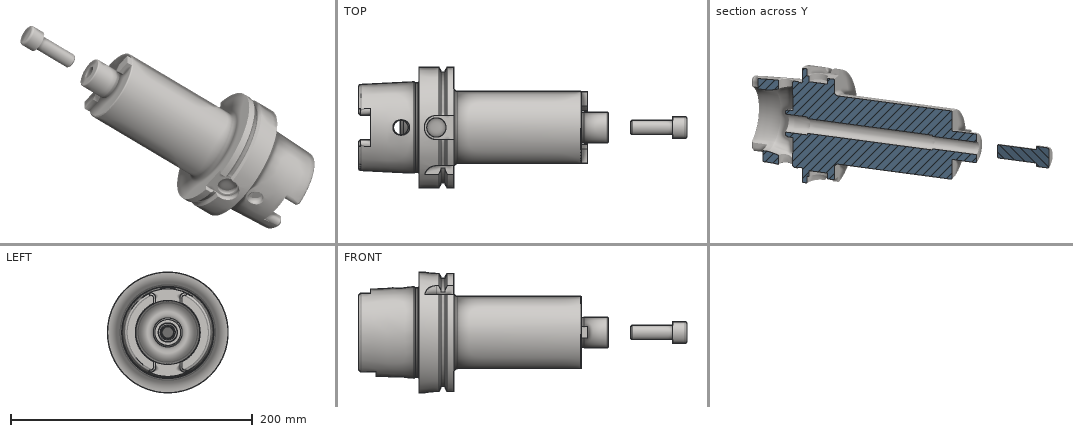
import cadquery as cq
import math


SHANK_LENGTH = 50.0
TAPER_SLOPE = 0.05
GAUGE_RADIUS = 37.5
GAUGE_OFFSET = 12.5
SHANK_TIP_FILLET = 2.0

UNDERCUT_LENGTH = 4.1
UNDERCUT_RADIUS = 37.2
UNDERCUT_TAPER_RUN = 1.3
UNDERCUT_FACE_RUN = 0.6
UNDERCUT_FACE_RISE = 1.0
FACE_RELIEF_RADIUS = 39.5
FACE_RELIEF_DEPTH = 0.3

FLANGE_RADIUS = 50.0
FLANGE_WIDTH = 29.0
GRIP_GROOVE_CENTER = 20.0
GRIP_GROOVE_TOP_WIDTH = 7.0
GRIP_GROOVE_FLOOR_WIDTH = 3.5
GRIP_GROOVE_BEVEL_RADIUS = 47.2
GRIP_GROOVE_RADIUS = 46.0

SLOT_WIDTH = 20.0
SLOT_END_CENTER = 14.5
SLOT_FLOOR_RADIUS = 44.0
SLOT_HOLE_DIAMETER = 16.0
SLOT_HOLE_DEPTH = 5.0
NOTCH_OFFSET = 31.6

BODY_RADIUS = 30.0
BODY_END = 134.8
BODY_ROOT_FILLET = 3.0
BODY_END_FILLET = 1.0
PILOT_RADIUS = 25.4 / 2
PILOT_LENGTH = 22.0
PILOT_END_FILLET = 1.0
PILOT_RELIEF_RADIUS = 25.0 / 2
PILOT_RELIEF_WIDTH = 2.5
PILOT_RELIEF_RUN = 1.2

KEY_WIDTH = 9.5
KEY_HEIGHT = 4.8
KEY_INNER_REACH = 13.8
KEY_INNER_CHAMFER = 4.1

MOUTH_RADIUS = 53.0 / 2
MOUTH_CHAMFER = 0.4
CLAMP_GROOVE_RADIUS = 63.0 / 2
CLAMP_GROOVE_START = -30.3
CLAMP_GROOVE_END = -10.5
BORE_FLOOR = -8.5
BORE_FLOOR_RADIUS = 24.6
NOSE_START = -15.4
NOSE_TIP_RADIUS = 10.7
NOSE_RADIUS = 24.0 / 2
NOSE_TAPER_LENGTH = 2.7

PASSAGE_MOUTH_RADIUS = 16.0 / 2
PASSAGE_RADIUS = 15.3 / 2
PASSAGE_DEPTH = 20.0
STEP_RADIUS = 12.5 / 2
THREAD_LENGTH = 40.0
THREAD_RADIUS = 10.5 / 2

DRIVE_SLOT_WIDTH = 20.0
UPPER_DRIVE_SLOT_DEPTH = 10.0
LOWER_DRIVE_SLOT_DEPTH = 14.5
DRIVE_SLOT_LIP_RADIUS = 4.0
DRIVE_SLOT_TIP_CHAMFER = 1.8
ACCESS_HOLE_DIAMETER = 12.0
ACCESS_COUNTERSINK_DIAMETER = 14.0
ACCESS_HOLE_X = -14.9

SCREW_START = 175.0
SCREW_SHANK_LENGTH = 35.0
SCREW_SHANK_RADIUS = 6.0
SCREW_TIP_CHAMFER = 1.3
SCREW_HEAD_RADIUS = 9.0
SCREW_HEAD_LENGTH = 12.0
SCREW_HEAD_FILLET = 1.8

MARGIN = 5.0


def taper_radius(x):
    return GAUGE_RADIUS + TAPER_SLOPE * (x + GAUGE_OFFSET)


def spin(profile):
    """Revolve an (x, radius) profile about the X axis."""
    return profile.close().revolve(360, (0, 0, 0), (1, 0, 0))


def arbor_blank():
    tip = -SHANK_LENGTH
    undercut_start = -UNDERCUT_LENGTH
    groove_half_top = GRIP_GROOVE_TOP_WIDTH / 2
    groove_half_floor = GRIP_GROOVE_FLOOR_WIDTH / 2
    pilot_end = BODY_END + PILOT_LENGTH
    relief_end = BODY_END + PILOT_RELIEF_WIDTH
    root = BODY_ROOT_FILLET
    root_mid = root * (1 - math.sqrt(0.5))
    tip_round = SHANK_TIP_FILLET
    tip_mid = tip_round * (1 - math.sqrt(0.5))
    tip_radius = taper_radius(tip)
    round_end = tip + tip_round
    profile = (
        cq.Workplane("XY")
        .moveTo(tip, 0)
        .lineTo(tip, tip_radius - tip_round)
        .threePointArc((tip + tip_mid, tip_radius - tip_mid), (round_end, taper_radius(round_end)))
        .lineTo(undercut_start, taper_radius(undercut_start))
        .lineTo(undercut_start + UNDERCUT_TAPER_RUN, UNDERCUT_RADIUS)
        .lineTo(-UNDERCUT_FACE_RUN, UNDERCUT_RADIUS)
        .lineTo(FACE_RELIEF_DEPTH, UNDERCUT_RADIUS + UNDERCUT_FACE_RISE)
        .lineTo(0, FACE_RELIEF_RADIUS)
        .lineTo(0, FLANGE_RADIUS)
        .lineTo(GRIP_GROOVE_CENTER - groove_half_top, FLANGE_RADIUS)
        .lineTo(GRIP_GROOVE_CENTER - groove_half_floor, GRIP_GROOVE_BEVEL_RADIUS)
        .lineTo(GRIP_GROOVE_CENTER - groove_half_floor, GRIP_GROOVE_RADIUS)
        .lineTo(GRIP_GROOVE_CENTER + groove_half_floor, GRIP_GROOVE_RADIUS)
        .lineTo(GRIP_GROOVE_CENTER + groove_half_floor, GRIP_GROOVE_BEVEL_RADIUS)
        .lineTo(GRIP_GROOVE_CENTER + groove_half_top, FLANGE_RADIUS)
        .lineTo(FLANGE_WIDTH, FLANGE_RADIUS)
        .lineTo(FLANGE_WIDTH, BODY_RADIUS + root)
        .threePointArc((FLANGE_WIDTH + root_mid, BODY_RADIUS + root_mid), (FLANGE_WIDTH + root, BODY_RADIUS))
        .lineTo(BODY_END - BODY_END_FILLET, BODY_RADIUS)
        .tangentArcPoint((BODY_END, BODY_RADIUS - BODY_END_FILLET), relative=False)
        .lineTo(BODY_END, PILOT_RELIEF_RADIUS)
        .lineTo(relief_end - PILOT_RELIEF_RUN, PILOT_RELIEF_RADIUS)
        .lineTo(relief_end, PILOT_RADIUS)
        .lineTo(pilot_end - PILOT_END_FILLET, PILOT_RADIUS)
        .tangentArcPoint((pilot_end, PILOT_RADIUS - PILOT_END_FILLET), relative=False)
        .lineTo(pilot_end, 0)
    )
    return spin(profile)


def shank_bore():
    """Clamping bore that widens inwards, leaving a nose standing on the floor."""
    profile = (
        cq.Workplane("XY")
        .moveTo(-SHANK_LENGTH - MARGIN, 0)
        .lineTo(-SHANK_LENGTH - MARGIN, MOUTH_RADIUS + MOUTH_CHAMFER)
        .lineTo(-SHANK_LENGTH, MOUTH_RADIUS + MOUTH_CHAMFER)
        .lineTo(-SHANK_LENGTH + MOUTH_CHAMFER, MOUTH_RADIUS)
        .lineTo(CLAMP_GROOVE_START, MOUTH_RADIUS)
        .lineTo(CLAMP_GROOVE_END, CLAMP_GROOVE_RADIUS)
        .lineTo(BORE_FLOOR, BORE_FLOOR_RADIUS)
        .lineTo(BORE_FLOOR, NOSE_RADIUS)
        .lineTo(NOSE_START + NOSE_TAPER_LENGTH, NOSE_RADIUS)
        .lineTo(NOSE_START, NOSE_TIP_RADIUS)
        .lineTo(NOSE_START, 0)
    )
    return spin(profile)


def passage():
    """Stepped hole through the arbor, from the nose to the threaded hole in the pilot."""
    mouth_chamfer = PASSAGE_MOUTH_RADIUS - PASSAGE_RADIUS
    pilot_end = BODY_END + PILOT_LENGTH
    step_end = pilot_end - THREAD_LENGTH
    profile = (
        cq.Workplane("XY")
        .moveTo(NOSE_START, 0)
        .lineTo(NOSE_START, PASSAGE_MOUTH_RADIUS)
        .lineTo(NOSE_START + mouth_chamfer, PASSAGE_RADIUS)
        .lineTo(NOSE_START + PASSAGE_DEPTH, PASSAGE_RADIUS)
        .lineTo(NOSE_START + PASSAGE_DEPTH, STEP_RADIUS)
        .lineTo(step_end, STEP_RADIUS)
        .lineTo(step_end, THREAD_RADIUS)
        .lineTo(pilot_end + MARGIN, THREAD_RADIUS)
        .lineTo(pilot_end + MARGIN, 0)
    )
    return spin(profile)


def drive_slot_outline(x, depth, widening):
    """Outline across the +Z shank wall at x; its sides flare out in arcs towards the taper."""
    half = DRIVE_SLOT_WIDTH / 2
    lip_y = half + DRIVE_SLOT_LIP_RADIUS
    lip_distance = taper_radius(-SHANK_LENGTH + depth / 2) - DRIVE_SLOT_LIP_RADIUS
    lip_z = math.sqrt(lip_distance ** 2 - lip_y ** 2)
    end_angle = math.atan2(lip_z, lip_y)
    middle_angle = (math.pi + end_angle) / 2
    lip_radius = DRIVE_SLOT_LIP_RADIUS - widening

    def lip_point(angle, radius):
        return lip_y + radius * math.cos(angle), lip_z + radius * math.sin(angle)

    def mirrored(point):
        return -point[0], point[1]

    middle = lip_point(middle_angle, lip_radius)
    end = lip_point(end_angle, lip_radius)
    outside = lip_point(end_angle, DRIVE_SLOT_LIP_RADIUS + 2 * MARGIN)
    side = half + widening
    return (
        cq.Workplane("YZ", origin=(x, 0, 0))
        .moveTo(-side, 0)
        .lineTo(side, 0)
        .lineTo(side, lip_z)
        .threePointArc(middle, end)
        .lineTo(*outside)
        .lineTo(*mirrored(outside))
        .lineTo(*mirrored(end))
        .threePointArc(mirrored(middle), (-side, lip_z))
        .close()
    )


def drive_slot(depth):
    return drive_slot_outline(-SHANK_LENGTH - MARGIN, depth, 0).extrude(MARGIN + depth)


def drive_slot_chamfer(depth):
    """Chamfer along the slot edges on the tip face."""
    tip = -SHANK_LENGTH
    wide = drive_slot_outline(tip, depth, DRIVE_SLOT_TIP_CHAMFER).val()
    narrow = drive_slot_outline(tip + DRIVE_SLOT_TIP_CHAMFER, depth, 0).val()
    return cq.Workplane(cq.Solid.makeLoft([wide, narrow], True))


def flange_slot(center_y, floor_z):
    """Round-ended slot, open towards the body, cut down to floor_z."""
    reach = FLANGE_WIDTH + MARGIN - SLOT_END_CENTER
    height = FLANGE_RADIUS + MARGIN - floor_z
    plane = cq.Workplane("XY", origin=(SLOT_END_CENTER, center_y, floor_z))
    rounded_end = plane.circle(SLOT_WIDTH / 2).extrude(height)
    straight = plane.center(reach / 2, 0).rect(reach, SLOT_WIDTH).extrude(height)
    return rounded_end.union(straight)


def slot_hole():
    floor = SLOT_FLOOR_RADIUS - SLOT_HOLE_DEPTH
    return (
        cq.Workplane("XY", origin=(SLOT_END_CENTER, 0, floor))
        .circle(SLOT_HOLE_DIAMETER / 2)
        .extrude(SLOT_HOLE_DEPTH + MARGIN)
    )


def access_hole():
    """Countersunk hole through the +Z shank wall, reaching down to the nose."""
    hole_radius = ACCESS_HOLE_DIAMETER / 2
    sink_radius = ACCESS_COUNTERSINK_DIAMETER / 2
    outer = taper_radius(ACCESS_HOLE_X)
    sink_bottom = outer - (sink_radius - hole_radius)
    top = outer + MARGIN
    drill = (
        cq.Workplane("XZ", origin=(ACCESS_HOLE_X, 0, 0))
        .moveTo(0, 0)
        .lineTo(hole_radius, 0)
        .lineTo(hole_radius, sink_bottom)
        .lineTo(sink_radius + MARGIN, top)
        .lineTo(0, top)
        .close()
        .revolve(360, (0, 0, 0), (0, 1, 0))
    )
    core = cq.Workplane("YZ", origin=(-SHANK_LENGTH, 0, 0)).circle(NOSE_RADIUS).extrude(SHANK_LENGTH)
    return drill.cut(core)


def drive_key():
    """Key on the +Y side of the end face; its inner end is chamfered on both flanks."""
    half = KEY_WIDTH / 2
    outer = math.sqrt(BODY_RADIUS ** 2 - half ** 2)
    return (
        cq.Workplane("YZ", origin=(BODY_END, 0, 0))
        .moveTo(outer, -half)
        .lineTo(outer, half)
        .lineTo(KEY_INNER_REACH + KEY_INNER_CHAMFER, half)
        .lineTo(KEY_INNER_REACH, 0)
        .lineTo(KEY_INNER_REACH + KEY_INNER_CHAMFER, -half)
        .close()
        .extrude(KEY_HEIGHT)
    )


def turned_half(tool):
    """The same tool on the opposite side of the axis."""
    return tool.rotate((0, 0, 0), (1, 0, 0), 180)


def build_arbor():
    arbor = arbor_blank()
    for key in (drive_key(), turned_half(drive_key())):
        arbor = arbor.union(key)
    arbor = arbor.cut(shank_bore()).cut(passage())
    for slot in (drive_slot, drive_slot_chamfer):
        arbor = arbor.cut(slot(UPPER_DRIVE_SLOT_DEPTH))
        arbor = arbor.cut(turned_half(slot(LOWER_DRIVE_SLOT_DEPTH)))
    for tool in (access_hole(), flange_slot(0, SLOT_FLOOR_RADIUS), slot_hole()):
        arbor = arbor.cut(tool).cut(turned_half(tool))
    notch_center_y = -NOTCH_OFFSET - SLOT_WIDTH / 2
    return arbor.cut(flange_slot(notch_center_y, NOTCH_OFFSET))


def build_screw():
    shank = (
        cq.Workplane("YZ", origin=(SCREW_START, 0, 0))
        .circle(SCREW_SHANK_RADIUS)
        .extrude(SCREW_SHANK_LENGTH)
        .faces("<X")
        .chamfer(SCREW_TIP_CHAMFER)
    )
    head = (
        cq.Workplane("YZ", origin=(SCREW_START + SCREW_SHANK_LENGTH, 0, 0))
        .circle(SCREW_HEAD_RADIUS)
        .extrude(SCREW_HEAD_LENGTH)
        .faces(">X")
        .edges()
        .fillet(SCREW_HEAD_FILLET)
    )
    return shank.union(head)


arbor = build_arbor()
screw = build_screw()

result = cq.Compound.makeCompound([arbor.val(), screw.val()])